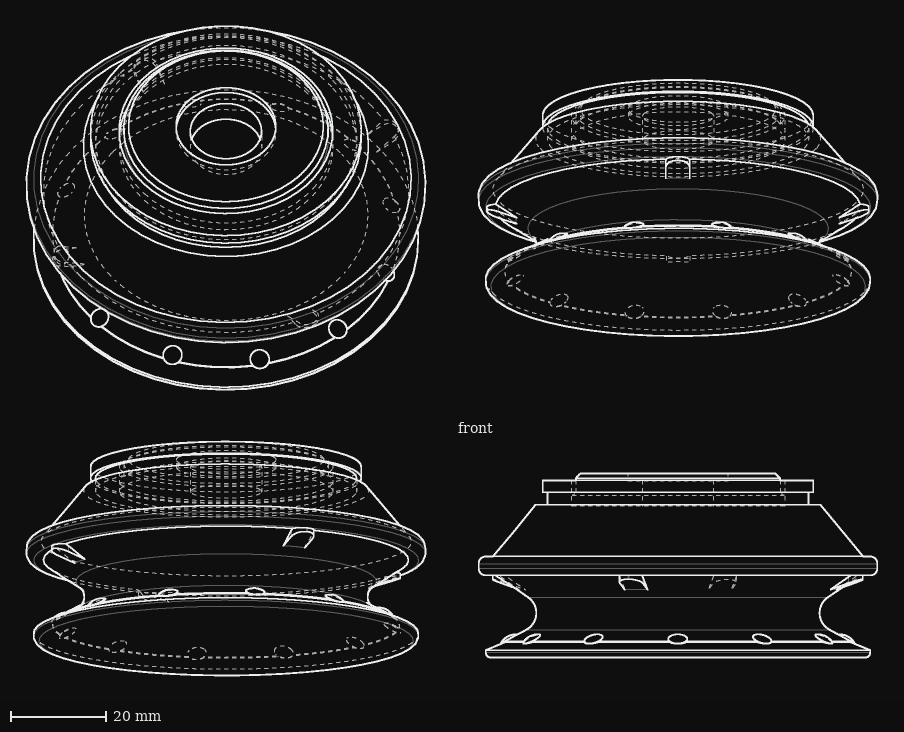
import cadquery as cq
import math

total_height = 38.8
flange_top = 37.3
flange_bottom = 34.8
shoulder_z = 32.2
rim_top = 21.3
rim_bottom = 17.3

flange_radius = 57 / 2
neck_radius = 55 / 2
shoulder_radius = 30.0
cone_foot_radius = 39.0
rim_radius = 84 / 2
rim_fillet = 1.5

waist_arc_radius = 4.0
waist_radius = 29.85
waist_z = 9.4
upper_cone_angle = math.radians(34)
lower_cone_angle = math.radians(28.5)

lip_step_radius = 36.5
lip_step_height = 0.2
lip_radius = 81 / 2
lip_edge_top = 1.6
lip_fillet = 1.1

bump_count = 12
bump_circle_radius = 35.5
bump_radius = 2.0
bump_height = 0.6
bump_root = 0.3

lug_count = 4
lug_angle = 15.0
lug_width = 5.0
lug_outer_radius = 40.2
lug_inner_radius = 33.0
lug_outer_z = 16.5
lug_slope = math.radians(19)
lug_corner = 2.4
lug_root = 0.5

fitting_thickness = 6.8
fitting_radius = 45 / 2
boss_radius = 43 / 2
boss_chamfer = 1.0
boss_foot_fillet = fitting_radius - boss_radius
groove_bottom = 34.2
recess_radius = 21 / 2
recess_depth = 1.6
bore_radius = 15 / 2
seat_z = total_height - fitting_thickness

fillet_inset = 1 - math.sqrt(0.5)


def arc_point(angle):
    """Point of the waist arc, at an angle from the inward horizontal."""
    center_r = waist_radius + waist_arc_radius
    return (
        center_r - waist_arc_radius * math.cos(angle),
        waist_z + waist_arc_radius * math.sin(angle),
    )


upper_tangent = arc_point(math.pi / 2 - upper_cone_angle)
lower_tangent = arc_point(lower_cone_angle - math.pi / 2)


def lower_cone_z(radius):
    """Height of the cone below the waist at a given radius."""
    return lower_tangent[1] - (radius - lower_tangent[0]) * math.tan(lower_cone_angle)


def make_cup_shell():
    """Turned shape of the cup, with the round recess for the fitting."""
    upper_cone_end = upper_tangent[0] + (rim_bottom - upper_tangent[1]) / math.tan(upper_cone_angle)
    step_z = lower_cone_z(lip_step_radius)
    rim_fillet_inset = fillet_inset * rim_fillet
    return (
        cq.Workplane("XZ")
        .moveTo(0, 0)
        .lineTo(lip_radius - lip_fillet, 0)
        .threePointArc(
            (lip_radius - fillet_inset * lip_fillet, fillet_inset * lip_fillet),
            (lip_radius, lip_fillet),
        )
        .lineTo(lip_radius, lip_edge_top)
        .lineTo(lip_step_radius, step_z - lip_step_height)
        .lineTo(lip_step_radius, step_z)
        .lineTo(*lower_tangent)
        .threePointArc((waist_radius, waist_z), upper_tangent)
        .lineTo(upper_cone_end, rim_bottom)
        .lineTo(rim_radius - rim_fillet, rim_bottom)
        .threePointArc(
            (rim_radius - rim_fillet_inset, rim_bottom + rim_fillet_inset),
            (rim_radius, rim_bottom + rim_fillet),
        )
        .lineTo(rim_radius, rim_top - rim_fillet)
        .threePointArc(
            (rim_radius - rim_fillet_inset, rim_top - rim_fillet_inset),
            (rim_radius - rim_fillet, rim_top),
        )
        .lineTo(cone_foot_radius, rim_top)
        .lineTo(shoulder_radius, shoulder_z)
        .lineTo(neck_radius, shoulder_z)
        .lineTo(neck_radius, flange_bottom)
        .lineTo(flange_radius, flange_bottom)
        .lineTo(flange_radius, flange_top)
        .lineTo(fitting_radius, flange_top)
        .lineTo(fitting_radius, seat_z)
        .lineTo(0, seat_z)
        .close()
        .revolve(360, (0, 0, 0), (0, 1, 0))
    )


def make_bump():
    """Spherical cap with a short root, standing square on the cone below the waist."""
    normal = cq.Vector(math.sin(lower_cone_angle), 0, math.cos(lower_cone_angle))
    foot = cq.Vector(bump_circle_radius, 0, lower_cone_z(bump_circle_radius))
    plane = cq.Plane(origin=foot - normal * bump_root, xDir=(0, 1, 0), normal=normal)
    sphere_radius = (bump_radius**2 + bump_height**2) / (2 * bump_height)
    sphere_center = foot + normal * (bump_height - sphere_radius)
    sphere = cq.Workplane("XY").sphere(sphere_radius).translate(sphere_center)
    return cq.Workplane(plane).circle(bump_radius).extrude(bump_root + bump_height).intersect(sphere)


def make_lug():
    """Round-nosed wedge under the rim, with a sloping lower face."""
    lug_inner_z = lug_outer_z - (lug_outer_radius - lug_inner_radius) * math.tan(lug_slope)
    return (
        cq.Workplane("XZ")
        .polyline([
            (lug_inner_radius, lug_inner_z),
            (lug_outer_radius, lug_outer_z),
            (lug_outer_radius, rim_bottom + lug_root),
            (lug_inner_radius, rim_bottom + lug_root),
        ])
        .close()
        .extrude(lug_width / 2, both=True)
        .edges("|Z and >X")
        .fillet(lug_corner)
    )


def make_cup():
    cup = make_cup_shell()
    bump = make_bump()
    for i in range(bump_count):
        cup = cup.union(bump.rotate((0, 0, 0), (0, 0, 1), i * 360 / bump_count))
    lug = make_lug()
    for i in range(lug_count):
        cup = cup.union(lug.rotate((0, 0, 0), (0, 0, 1), i * 360 / lug_count - lug_angle))
    return cup


def make_fitting():
    """Round fitting: a chamfered boss on a wider foot, with a recessed through bore."""
    fillet_offset = fillet_inset * boss_foot_fillet
    ledge_z = total_height - recess_depth
    return (
        cq.Workplane("XZ")
        .moveTo(bore_radius, seat_z)
        .lineTo(fitting_radius, seat_z)
        .lineTo(fitting_radius, groove_bottom)
        .threePointArc(
            (boss_radius + fillet_offset, groove_bottom + fillet_offset),
            (boss_radius, groove_bottom + boss_foot_fillet),
        )
        .lineTo(boss_radius, total_height - boss_chamfer)
        .lineTo(boss_radius - boss_chamfer, total_height)
        .lineTo(recess_radius, total_height)
        .lineTo(recess_radius, ledge_z)
        .lineTo(bore_radius, ledge_z)
        .close()
        .revolve(360, (0, 0, 0), (0, 1, 0))
    )


cup = make_cup()
fitting = make_fitting()
result = cq.Compound.makeCompound([cup.val(), fitting.val()])